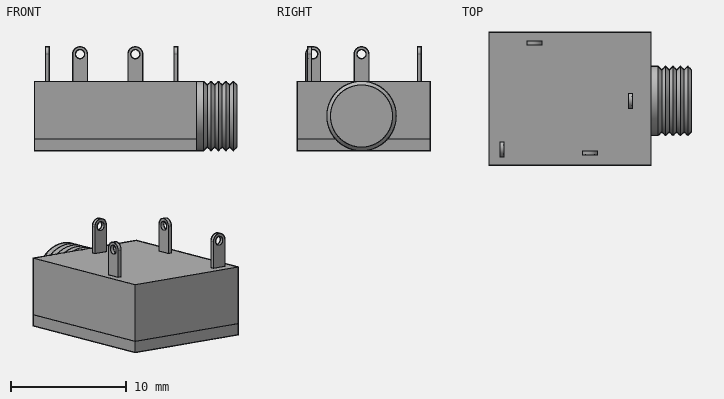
import cadquery as cq

total_length = 17.5
body_length = 14.0
body_width = 11.5
body_height = 6.0
cover_thickness = 1.0

barrel_offset_y = -0.2
barrel_radius = body_height / 2
barrel_axis_z = body_height / 2
collar_length = 0.61
thread_depth = 0.32
crest_count = 4
root_radius = barrel_radius - thread_depth
thread_length = total_length - body_length - collar_length
half_pitch = thread_length / (2 * crest_count + 1)

tab_height = 3.0
tab_width = 1.3
tab_thickness = 0.35
tab_hole_diameter = 0.77
tab_positions = [
    (1.12, -4.38, 90),
    (3.94, 4.81, 0),
    (8.72, -4.67, 0),
    (12.22, barrel_offset_y, 90),
]


def make_barrel():
    """Plain collar followed by V-shaped thread rings, revolved about the barrel axis."""
    collar_end = body_length + collar_length
    profile = (
        cq.Workplane("XY")
        .moveTo(body_length, 0)
        .lineTo(body_length, barrel_radius)
        .lineTo(collar_end, barrel_radius)
    )
    for ring in range(crest_count):
        root_x = collar_end + (2 * ring + 1) * half_pitch
        profile = profile.lineTo(root_x, root_radius).lineTo(root_x + half_pitch, barrel_radius)
    profile = profile.lineTo(total_length, root_radius).lineTo(total_length, 0).close()
    barrel = profile.revolve(360, (0, 0, 0), (1, 0, 0))
    return barrel.translate((0, barrel_offset_y, barrel_axis_z))


def make_tab():
    """Upright round-ended tab with an eye, centred on the origin and standing on Z = 0."""
    eye_height = tab_height - tab_width / 2
    return (
        cq.Workplane("XZ")
        .moveTo(-tab_width / 2, 0)
        .lineTo(-tab_width / 2, eye_height)
        .threePointArc((0, tab_height), (tab_width / 2, eye_height))
        .lineTo(tab_width / 2, 0)
        .close()
        .moveTo(0, eye_height)
        .circle(tab_hole_diameter / 2)
        .extrude(tab_thickness / 2, both=True)
    )


def make_block(bottom, top):
    """Rectangular block with the body's footprint between two heights."""
    return (
        cq.Workplane("XY", origin=(body_length / 2, 0, bottom))
        .rect(body_length, body_width)
        .extrude(top - bottom)
    )


def make_housing():
    """Main block with its barrel and solder tabs."""
    housing = make_block(cover_thickness, body_height).union(make_barrel())
    for x, y, turn in tab_positions:
        tab = make_tab().rotate((0, 0, 0), (0, 0, 1), turn)
        housing = housing.union(tab.translate((x, y, body_height)))
    return housing


def make_cover():
    """Flat plate that closes the underside of the housing."""
    return make_block(0, cover_thickness)


housing = make_housing()
cover = make_cover()
result = cq.Compound.makeCompound([housing.val(), cover.val()])